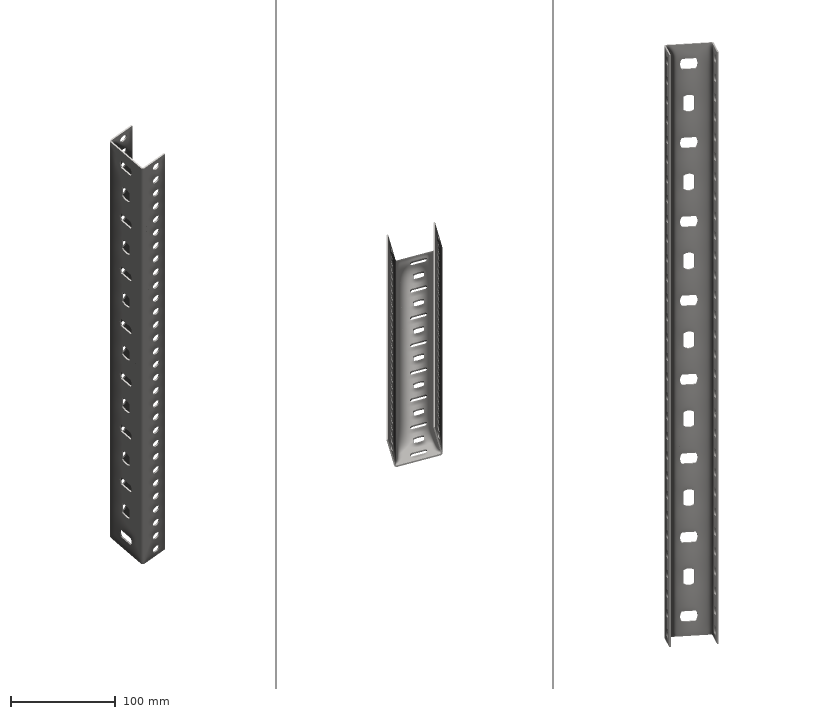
import cadquery as cq

width = 48.0
depth = 29.0
length = 600.0
thickness = 1.5
inner_bend_radius = 1.0
outer_bend_radius = inner_bend_radius + thickness

slot_length = 17.0
slot_width = 10.5
slot_pitch = 40.0
slot_count = int(length / slot_pitch)

hole_diameter = 8.5
hole_pitch = 20.0
hole_count = int(length / hole_pitch)
hole_edge_distance = 11.5


def row_heights(pitch, count):
    """Heights of a row that starts half a pitch above the lower end."""
    return [pitch * (index + 0.5) for index in range(count)]


def make_channel():
    """Bent sheet channel, standing on Z = 0 and centred on X = 0."""
    outside = (
        cq.Workplane("XY")
        .box(width, depth, length, centered=(True, False, False))
        .edges("|Z and <Y")
        .fillet(outer_bend_radius)
    )
    inside = (
        cq.Workplane("XY")
        .box(width - 2 * thickness, depth, length, centered=(True, False, False))
        .edges("|Z and <Y")
        .fillet(inner_bend_radius)
        .translate((0, thickness, 0))
    )
    return outside.cut(inside)


def make_slot_cutter():
    """Horizontal slot cutter: a round bar at the origin with its top and bottom cut flat."""
    cutter_depth = 2 * thickness
    bar = cq.Workplane("XZ").circle(slot_length / 2).extrude(cutter_depth, both=True)
    flat_sides = cq.Workplane("XY").box(slot_length, 2 * cutter_depth, slot_width)
    return bar.intersect(flat_sides)


def cut_web_slots(body):
    """Cut the web slots; every other one is turned upright."""
    horizontal = make_slot_cutter()
    upright = horizontal.rotate((0, 0, 0), (0, 1, 0), 90)
    for index, height in enumerate(row_heights(slot_pitch, slot_count)):
        cutter = horizontal if index % 2 == 0 else upright
        body = body.cut(cutter.translate((0, 0, height)))
    return body


def make_flange_holes():
    """Round cutters that pass through both flanges."""
    hole_y = depth - hole_edge_distance
    centres = [(hole_y, height) for height in row_heights(hole_pitch, hole_count)]
    return (
        cq.Workplane("YZ")
        .pushPoints(centres)
        .circle(hole_diameter / 2)
        .extrude(width / 2, both=True)
    )


channel = make_channel().cut(make_flange_holes())
result = cut_web_slots(channel)